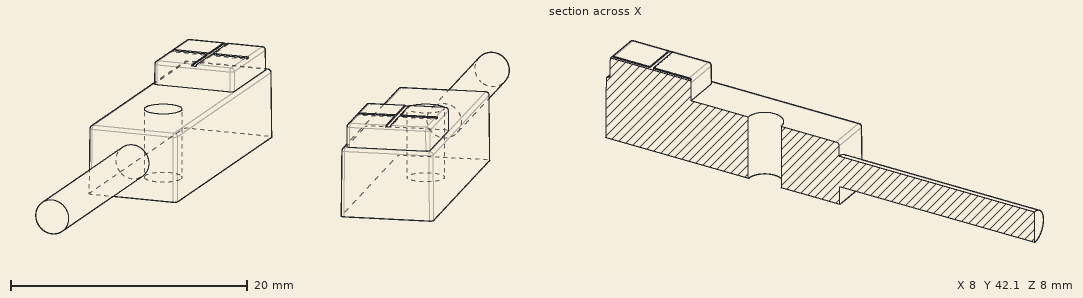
import cadquery as cq

total_length = 42.1
total_height = 8.0

body_width = 8.0
body_length = 23.0
body_height = 5.98

pad_width = 7.2
pad_length = 8.0
pad_back_inset = 0.4
pad_height = total_height - body_height

draft_angle = 0.5
edge_radius = 0.3

groove_width = 0.38
groove_depth = 0.105
cross_groove_length = 6.8

hole_diameter = 3.2
hole_from_back = 15.6
cable_diameter = 3.0
cable_height = 3.2
cable_embed = 0.4

body_front = total_length - body_length
pad_center = total_length - pad_back_inset - pad_length / 2
hole_center = total_length - hole_from_back


def rounded_block(width, length, height, center_y, base_z):
    """Drafted block, sized at its base, with every edge rounded except the bottom rim."""
    block = (
        cq.Workplane("XY", origin=(0, center_y, base_z))
        .rect(width, length)
        .extrude(height, taper=draft_angle)
    )
    return block.edges("not <Z").fillet(edge_radius)


def pad_groove(width, length):
    """Cutter for one straight groove, centered on the pad top."""
    return (
        cq.Workplane("XY", origin=(0, pad_center, total_height - groove_depth))
        .rect(width, length)
        .extrude(groove_depth)
    )


body = rounded_block(body_width, body_length, body_height, body_front + body_length / 2, 0)

pad = rounded_block(pad_width, pad_length, pad_height, pad_center, body_height)
pad = pad.cut(pad_groove(groove_width, pad_length))
pad = pad.cut(pad_groove(cross_groove_length, groove_width))

hole = (
    cq.Workplane("XY", origin=(0, hole_center, 0))
    .circle(hole_diameter / 2)
    .extrude(body_height)
)

cable = (
    cq.Workplane("XZ", origin=(0, body_front + cable_embed, cable_height))
    .circle(cable_diameter / 2)
    .extrude(body_front + cable_embed)
)

result = body.cut(hole).union(pad).union(cable)